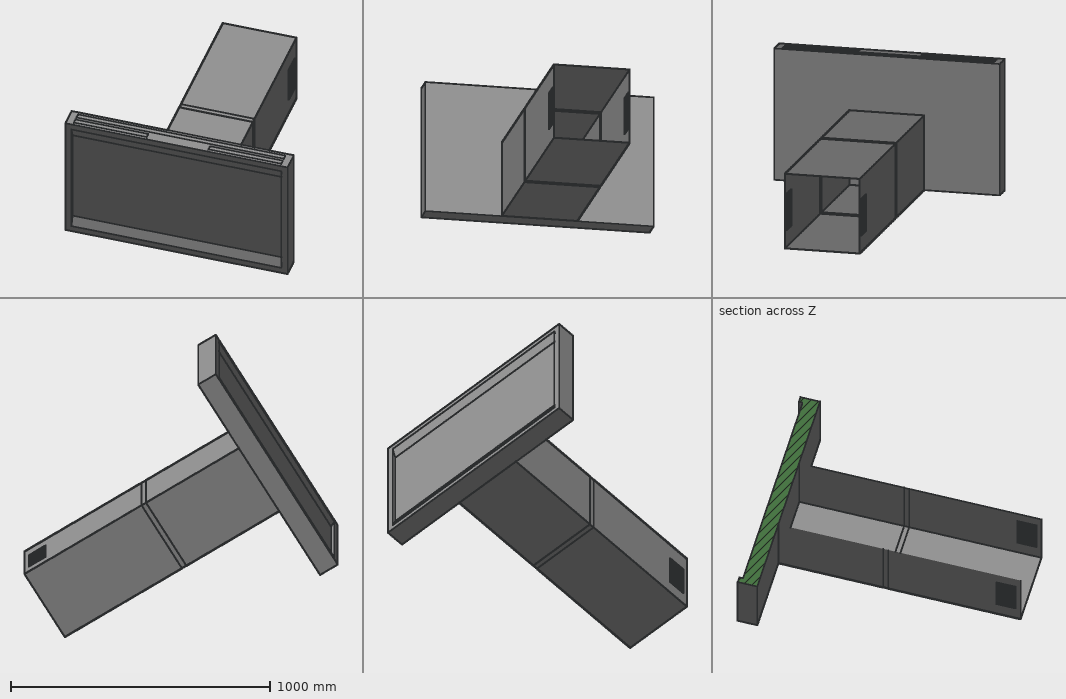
import cadquery as cq
canopy_width = 900
canopy_depth = 80
canopy_height = 525
rim_width = 25

recess_depth = 15
recess_slope_height = 40

duct_size = 300
duct_wall = 2
front_duct_end = 500
joint_length = 20
joint_recess = 0.5
rear_duct_end = 1050

grille_slot_count = 10
grille_slot_length = 77
grille_slot_height = 10
grille_slot_pitch = 15
grille_center_z = 140
grille_end_margin = 20

strip_margin = 30
strip_width = 20
strip_thickness = 5
long_strip_y = 57
short_strip_y = 24
short_strip_length = 295
long_strip_length = canopy_width - 2 * strip_margin


def block(x_size, y_start, y_end, z_start, z_end):
    """Box centred on x = 0 between the given y and z limits."""
    return cq.Workplane("XY").box(
        x_size, y_end - y_start, z_end - z_start, centered=(True, False, False)
    ).translate((0, y_start, z_start))


def make_strip(length, x_center, y_center):
    strip = block(length, -strip_width / 2, strip_width / 2, -strip_thickness, 0)
    return strip.translate((x_center, y_center, canopy_height))


def make_recess():
    half_opening = canopy_height / 2 - rim_width
    half_floor = half_opening - recess_slope_height
    center_z = canopy_height / 2
    return (
        cq.Workplane("YZ")
        .moveTo(0, center_z - half_opening)
        .lineTo(recess_depth, center_z - half_floor)
        .lineTo(recess_depth, center_z + half_floor)
        .lineTo(0, center_z + half_opening)
        .close()
        .extrude(canopy_width / 2 - rim_width, both=True)
    )


def make_canopy(strips):
    canopy = block(canopy_width, 0, canopy_depth, 0, canopy_height)
    canopy = canopy.cut(make_recess())
    for strip in strips:
        canopy = canopy.cut(strip)
    return canopy


def make_tube(y_start, y_end, inset=0):
    outer = duct_size - 2 * inset
    inner = duct_size - 2 * duct_wall
    tube = block(outer, y_start, y_end, inset, duct_size - inset)
    bore = block(inner, y_start, y_end, duct_wall, duct_size - duct_wall)
    return tube.cut(bore)


def make_rear_duct():
    duct = make_tube(front_duct_end + joint_length, rear_duct_end)
    collar = make_tube(front_duct_end, front_duct_end + joint_length, joint_recess)
    duct = duct.union(collar)
    slot_end = rear_duct_end - grille_end_margin
    for index in range(grille_slot_count):
        z = grille_center_z + (index - (grille_slot_count - 1) / 2) * grille_slot_pitch
        slot = block(
            duct_size,
            slot_end - grille_slot_length,
            slot_end,
            z - grille_slot_height / 2,
            z + grille_slot_height / 2,
        )
        duct = duct.cut(slot)
    return duct


long_strip = make_strip(long_strip_length, 0, long_strip_y)
short_strip_x = (long_strip_length - short_strip_length) / 2
short_strips = [
    make_strip(short_strip_length, side * short_strip_x, short_strip_y) for side in (-1, 1)
]
strips = [long_strip, *short_strips]

canopy = make_canopy(strips)
front_duct = make_tube(canopy_depth, front_duct_end)
rear_duct = make_rear_duct()

result = cq.Compound.makeCompound(
    [canopy.val(), front_duct.val(), rear_duct.val(), *[strip.val() for strip in strips]]
)